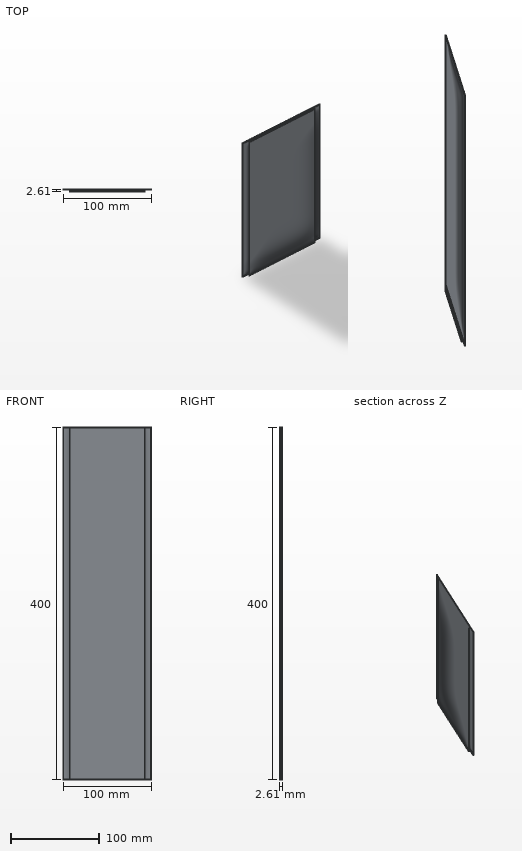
import cadquery as cq

height = 400.0
back_width = 100.0
front_width = 85.0
sheet_thickness = 0.5
overall_depth = 2.61

front_sheet_y = sheet_thickness - overall_depth


def upright_sheet(width, front_face_y):
    """Flat sheet standing on Z = 0, centred in X, reaching back (+Y) from its front face."""
    sheet = cq.Workplane("XY").box(width, sheet_thickness, height, centered=(True, False, False))
    return sheet.translate((0, front_face_y, 0))


back_sheet = upright_sheet(back_width, 0)

front_sheet = upright_sheet(front_width, front_sheet_y)

result = cq.Compound.makeCompound([back_sheet.val(), front_sheet.val()])